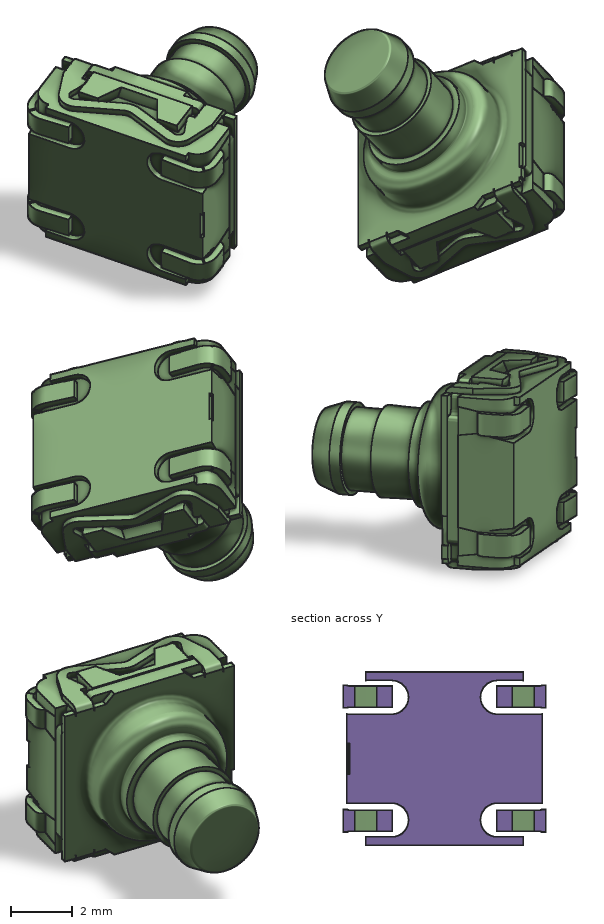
import cadquery as cq
import math

HOUSING_BACK = 0.11
HOUSING_FRONT = 2.01
LAYER_FRONT = 2.39
COVER_FRONT = 2.59
TIP = 7.65

HOUSING_HALF_X = 3.16
HOUSING_HALF_Z = 2.8
CORNER_RADIUS = 0.61
POCKET_DEPTH = 0.19
POCKET_RADIUS = 0.565
POCKET_X = 1.705
POCKET_Z = 1.98
POCKET_DRAFT = 10.0
KEY_HALF_WIDTH = 0.5
KEY_DEPTH = 0.09
KEY_EDGE_DROP = 0.115
ROOT_RECESS = 0.01

TERMINAL_HALF_SPAN = 6.8 / 2
TERMINAL_Z = 2.005
TERMINAL_HALF_WIDTH = 0.37
FOOT_HALF_WIDTH = 0.345
FOOT_END_X = 1.68
FOOT_TILT = 3.0
TERMINAL_BEND_RADIUS = 0.66
TERMINAL_ROOT_RADIUS = 0.305
TERMINAL_ROOT_Y = 1.04
STRAP_THICKNESS = TERMINAL_HALF_SPAN - HOUSING_HALF_X

LAYER_HALF_X = 3.14
LAYER_HALF_Z = 3.105
LAYER_RADIUS = 0.15
LAYER_STEP_Z = 2.12
LAYER_STEP_X = 2.755
TONGUE_TIP_HALF_X = 1.3
TONGUE_ROOT_HALF_X = 1.615

COVER_HALF_X = 3.12
COVER_EDGE_INSET = 0.11
COVER_LONG_EDGE_LOW = -1.2
COVER_CLIP_INSET = 0.03
COVER_CLIP_LOW = -2.64
COVER_CLIP_HIGH = -2.19
RELIEF_WIDTH = 0.02
RELIEF_DEPTH = 0.11
LOOP_OUTER_Z = 3.01
LOOP_BEND_RADIUS = 0.245
LEG_OUTER_X = 2.71
LEG_INNER_X = 2.05

TAB_HALF_X = 1.79
TAB_OUTER_Z = 6.3 / 2
TAB_TIP_Y = 0.94
TAB_ROOT_Y = 1.02
TAB_POCKET_MOUTH_HALF_X = 1.09
TAB_POCKET_END_HALF_X = 0.65
TAB_POCKET_OUTER_Y = 1.77
TAB_POCKET_INNER_Y = 1.645

OVERSIZE = 1.53


def block(x, y, z):
    """Box from three (low, high) ranges."""
    size = [high - low for low, high in (x, y, z)]
    return cq.Workplane("XY").box(*size, centered=False).translate((x[0], y[0], z[0]))


def prism_along_z(sketch_points, low, high):
    return cq.Workplane("XY").workplane(offset=low).polyline(sketch_points).close().extrude(high - low)


def prism_along_x(yz_points, low, high):
    return cq.Workplane("YZ").workplane(offset=low).polyline(yz_points).close().extrude(high - low)


def at_both_ends(shape):
    """The shape and its mirror image below z = 0."""
    return shape.union(shape.mirror("XY"))


def at_four_corners(shape):
    both = at_both_ends(shape)
    return both.union(both.mirror("YZ"))


def rounded_prism(corners, low, high):
    """Prism along Z of a closed outline of (x, y, radius) corners."""
    outline = cq.Workplane("XY").workplane(offset=low)
    for i, (x, y, radius) in enumerate(corners):
        corner = cq.Vector(x, y)
        before = (cq.Vector(*corners[i - 1][:2]) - corner).normalized()
        after = (cq.Vector(*corners[(i + 1) % len(corners)][:2]) - corner).normalized()
        half_angle = before.getAngle(after) / 2
        entry = corner + before * (radius / math.tan(half_angle))
        outline = outline.lineTo(entry.x, entry.y) if i > 0 else outline.moveTo(entry.x, entry.y)
        if radius > 0:
            leave = corner + after * (radius / math.tan(half_angle))
            to_centre = (before + after).normalized()
            middle = corner + to_centre * (radius / math.sin(half_angle) - radius)
            outline = outline.threePointArc((middle.x, middle.y), (leave.x, leave.y))
    return outline.close().extrude(high - low)


def make_nozzle():
    """Turned nozzle on its round base."""
    base_radius, base_top, base_fillet = 2.365, 3.755, 0.375
    foot_fillet = 0.21
    flange_radius, flange_top, flange_fillet = 1.72, 4.19, 0.05
    barrel_radius, barrel_root_radius, barrel_top = 1.51, 1.485, 5.555
    neck_radius, neck_top = 1.355, 6.6
    barb_cylinder_top = 6.96
    tip_radius, tip_fillet = 1.255, 0.085
    diagonal = math.sqrt(0.5)

    profile = (
        cq.Workplane("XY")
        .moveTo(0, HOUSING_FRONT)
        .lineTo(base_radius + foot_fillet, HOUSING_FRONT)
        .lineTo(base_radius + foot_fillet, COVER_FRONT)
        .threePointArc(
            (base_radius + foot_fillet * (1 - diagonal), COVER_FRONT + foot_fillet * (1 - diagonal)),
            (base_radius, COVER_FRONT + foot_fillet),
        )
        .lineTo(base_radius, base_top - base_fillet)
        .threePointArc(
            (base_radius - base_fillet * (1 - diagonal), base_top - base_fillet * (1 - diagonal)),
            (base_radius - base_fillet, base_top),
        )
        .lineTo(flange_radius + flange_fillet, base_top)
        .threePointArc(
            (flange_radius + flange_fillet * (1 - diagonal), base_top + flange_fillet * (1 - diagonal)),
            (flange_radius, base_top + flange_fillet),
        )
        .lineTo(flange_radius, flange_top)
        .lineTo(barrel_root_radius, flange_top)
        .lineTo(barrel_radius, barrel_top)
        .lineTo(neck_radius, barrel_top)
        .lineTo(neck_radius, neck_top)
        .lineTo(barrel_radius, neck_top)
        .lineTo(barrel_radius, barb_cylinder_top)
        .lineTo(tip_radius, TIP)
        .lineTo(0, TIP)
        .close()
    )
    nozzle = profile.revolve(360, (0, 0, 0), (0, 1, 0))
    return nozzle.faces(">Y").edges().fillet(tip_fillet).mirror("YZ")


def make_foot_pocket():
    """Drafted slot in the back face, running out through the side."""
    end_x = POCKET_X - POCKET_RADIUS
    outer_x = HOUSING_HALF_X + OVERSIZE
    back = cq.Plane(
        origin=((end_x + outer_x) / 2, HOUSING_BACK, POCKET_Z), xDir=(1, 0, 0), normal=(0, 1, 0)
    )
    slot = cq.Workplane(back).slot2D(outer_x - end_x, 2 * POCKET_RADIUS)
    return slot.extrude(POCKET_DEPTH, taper=POCKET_DRAFT)


def make_corner_cut():
    """Material outside the rounded back corner, bounded inwards by the drafted pocket wall."""
    edge_x = HOUSING_HALF_X - CORNER_RADIUS
    floor_y = HOUSING_BACK + POCKET_DEPTH
    top_y = floor_y + CORNER_RADIUS
    outer_x = HOUSING_HALF_X + OVERSIZE
    diagonal = CORNER_RADIUS * math.sqrt(0.5)
    outside = (
        cq.Workplane("XY")
        .moveTo(edge_x, HOUSING_BACK - OVERSIZE)
        .lineTo(edge_x, floor_y)
        .threePointArc((edge_x + diagonal, top_y - diagonal), (HOUSING_HALF_X, top_y))
        .lineTo(outer_x, top_y)
        .lineTo(outer_x, HOUSING_BACK - OVERSIZE)
        .close()
        .extrude(HOUSING_HALF_Z + OVERSIZE)
    )
    wall_z = POCKET_Z - POCKET_RADIUS
    wall_shift = (top_y - HOUSING_BACK) * math.tan(math.radians(POCKET_DRAFT))
    above_wall = prism_along_x(
        [
            (HOUSING_BACK, wall_z),
            (top_y, wall_z + wall_shift),
            (top_y, HOUSING_HALF_Z + OVERSIZE),
            (HOUSING_BACK, HOUSING_HALF_Z + OVERSIZE),
        ],
        edge_x,
        outer_x,
    )
    return outside.intersect(above_wall)


def make_root_recess():
    """Shallow flared recess between the terminal root and the front of the housing."""
    flare = 0.11
    root_top = TERMINAL_ROOT_Y + TERMINAL_ROOT_RADIUS
    narrow = TERMINAL_HALF_WIDTH
    wide = narrow + flare
    return prism_along_x(
        [
            (root_top, TERMINAL_Z - narrow),
            (HOUSING_FRONT, TERMINAL_Z - wide),
            (HOUSING_FRONT, TERMINAL_Z + wide),
            (root_top, TERMINAL_Z + narrow),
        ],
        HOUSING_HALF_X - ROOT_RECESS,
        HOUSING_HALF_X + OVERSIZE,
    )


def make_key_notch():
    """Notch with a sloping floor in the +X edge of the back face."""
    inner_x = HOUSING_HALF_X - KEY_DEPTH
    edge_y = HOUSING_BACK + KEY_EDGE_DROP
    outline = [
        (inner_x, HOUSING_BACK),
        (inner_x, edge_y + KEY_DEPTH),
        (HOUSING_HALF_X, edge_y),
        (HOUSING_HALF_X, HOUSING_BACK),
    ]
    return prism_along_z(outline, -KEY_HALF_WIDTH, KEY_HALF_WIDTH)


def make_housing():
    housing = block(
        (-HOUSING_HALF_X, HOUSING_HALF_X),
        (HOUSING_BACK, HOUSING_FRONT),
        (-HOUSING_HALF_Z, HOUSING_HALF_Z),
    )
    for cutter in (make_foot_pocket(), make_corner_cut(), make_root_recess()):
        housing = housing.cut(at_four_corners(cutter))
    return housing.cut(make_key_notch())


def make_terminal():
    """Bent strap: rounded root on the housing side, bend, and tilted foot under the housing."""
    bend_x = TERMINAL_HALF_SPAN - TERMINAL_BEND_RADIUS
    bend_y = TERMINAL_BEND_RADIUS
    inner_radius = TERMINAL_BEND_RADIUS - STRAP_THICKNESS
    foot_angle = -90 - FOOT_TILT
    split_angle = -49.5
    taper_length = 0.045

    def on_bend(radius, angle):
        turn = math.radians(angle)
        return (bend_x + radius * math.cos(turn), bend_y + radius * math.sin(turn))

    def on_foot_end(radius):
        start_x, start_y = on_bend(radius, foot_angle)
        return (FOOT_END_X, start_y + (start_x - FOOT_END_X) * math.tan(math.radians(FOOT_TILT)))

    root_x = TERMINAL_HALF_SPAN - TERMINAL_ROOT_RADIUS
    root_diagonal = TERMINAL_ROOT_RADIUS * math.sqrt(0.5)
    side = (
        cq.Workplane("XY")
        .workplane(offset=TERMINAL_Z - TERMINAL_HALF_WIDTH)
        .moveTo(root_x, TERMINAL_ROOT_Y)
        .lineTo(root_x, TERMINAL_ROOT_Y + TERMINAL_ROOT_RADIUS)
        .threePointArc(
            (root_x + root_diagonal, TERMINAL_ROOT_Y + root_diagonal),
            (TERMINAL_HALF_SPAN, TERMINAL_ROOT_Y),
        )
        .lineTo(TERMINAL_HALF_SPAN, bend_y)
        .threePointArc(
            on_bend(TERMINAL_BEND_RADIUS, split_angle / 2), on_bend(TERMINAL_BEND_RADIUS, split_angle)
        )
        .lineTo(*on_bend(inner_radius, split_angle))
        .threePointArc(on_bend(inner_radius, split_angle / 2), on_bend(inner_radius, 0))
        .lineTo(HOUSING_HALF_X, TERMINAL_ROOT_Y)
        .close()
        .extrude(2 * TERMINAL_HALF_WIDTH)
    )
    along_bend = cq.Vector(*on_bend(0.08, split_angle - 90)) - cq.Vector(bend_x, bend_y)
    across_strap = cq.Vector(*on_bend(0.08, split_angle)) - cq.Vector(bend_x, bend_y)
    side = (
        side.faces(cq.DirectionMinMaxSelector(along_bend))
        .edges(cq.ParallelDirSelector(across_strap))
        .chamfer(TERMINAL_HALF_WIDTH - FOOT_HALF_WIDTH, taper_length)
    )
    middle_angle = (split_angle + foot_angle) / 2
    foot = (
        cq.Workplane("XY")
        .workplane(offset=TERMINAL_Z - FOOT_HALF_WIDTH)
        .moveTo(*on_bend(TERMINAL_BEND_RADIUS, split_angle))
        .threePointArc(
            on_bend(TERMINAL_BEND_RADIUS, middle_angle), on_bend(TERMINAL_BEND_RADIUS, foot_angle)
        )
        .lineTo(*on_foot_end(TERMINAL_BEND_RADIUS))
        .lineTo(*on_foot_end(inner_radius))
        .lineTo(*on_bend(inner_radius, foot_angle))
        .threePointArc(on_bend(inner_radius, middle_angle), on_bend(inner_radius, split_angle))
        .close()
        .extrude(2 * FOOT_HALF_WIDTH)
    )
    return side.union(foot)


def make_layer():
    """Middle layer with stepped corners, raised at both ends, carrying a tongue into the cover."""
    r = LAYER_RADIUS
    rounding = r * (1 - math.sqrt(0.5))
    front = cq.Plane(origin=(0, LAYER_FRONT, 0), xDir=(1, 0, 0), normal=(0, -1, 0))
    quarter = (
        cq.Workplane(front)
        .lineTo(LAYER_HALF_X, 0)
        .lineTo(LAYER_HALF_X, LAYER_STEP_Z - r)
        .threePointArc((LAYER_HALF_X - rounding, LAYER_STEP_Z - rounding), (LAYER_HALF_X - r, LAYER_STEP_Z))
        .lineTo(LAYER_STEP_X + r, LAYER_STEP_Z)
        .threePointArc((LAYER_STEP_X + rounding, LAYER_STEP_Z + rounding), (LAYER_STEP_X, LAYER_STEP_Z + r))
        .lineTo(LAYER_STEP_X, HOUSING_HALF_Z - r)
        .threePointArc((LAYER_STEP_X - rounding, HOUSING_HALF_Z - rounding), (LAYER_STEP_X - r, HOUSING_HALF_Z))
        .lineTo(LEG_INNER_X, HOUSING_HALF_Z)
        .lineTo(LEG_INNER_X, LAYER_HALF_Z - r)
        .threePointArc((LEG_INNER_X - rounding, LAYER_HALF_Z - rounding), (LEG_INNER_X - r, LAYER_HALF_Z))
        .lineTo(0, LAYER_HALF_Z)
        .close()
        .extrude(LAYER_FRONT - HOUSING_FRONT)
    )
    tongue = (
        cq.Workplane(front)
        .polyline(
            [
                (-TONGUE_ROOT_HALF_X, HOUSING_HALF_Z),
                (TONGUE_ROOT_HALF_X, HOUSING_HALF_Z),
                (TONGUE_TIP_HALF_X, LAYER_HALF_Z),
                (-TONGUE_TIP_HALF_X, LAYER_HALF_Z),
            ]
        )
        .close()
        .extrude(LAYER_FRONT - COVER_FRONT)
    )
    return at_four_corners(quarter).union(at_both_ends(tongue))


def make_cover():
    """Front plate with relief slits beside the loop legs and a stepped -X edge."""
    thickness = (LAYER_FRONT, COVER_FRONT)
    inset_edge = -COVER_HALF_X + COVER_EDGE_INSET
    cover = block((inset_edge, COVER_HALF_X), thickness, (-HOUSING_HALF_Z, HOUSING_HALF_Z))
    long_edge = block((-COVER_HALF_X, 0), thickness, (COVER_LONG_EDGE_LOW, HOUSING_HALF_Z))
    clip = block((-COVER_HALF_X + COVER_CLIP_INSET, 0), thickness, (COVER_CLIP_LOW, COVER_CLIP_HIGH))
    cover = cover.union(long_edge).union(clip)
    slit_z = (HOUSING_HALF_Z - RELIEF_DEPTH, HOUSING_HALF_Z)
    for low_x in (LEG_OUTER_X, LEG_INNER_X - RELIEF_WIDTH):
        slit = block((low_x, low_x + RELIEF_WIDTH), thickness, slit_z)
        cover = cover.cut(at_four_corners(slit))
    return cover


def make_loop():
    """Spring loop folded back from the cover along the end of the housing."""
    knee_y = 1.66
    shoulder_x, shoulder_top, shoulder_bottom = 1.84, 1.705, 1.53
    outer_half = [
        (LEG_OUTER_X, COVER_FRONT, 0),
        (LEG_OUTER_X, knee_y, 0),
        (2.195, 0.175, 0.57),
    ]
    inner_half = [
        (2.2, 0.56, 0.19),
        (shoulder_x, shoulder_bottom, 0),
        (shoulder_x, shoulder_top, 0),
        (LEG_INNER_X, shoulder_top, 0),
        (LEG_INNER_X, COVER_FRONT, 0),
    ]
    outer_apex = (0, 1.01, 0.49)
    inner_apex = (0, 1.38, 0.765)

    def mirrored(half):
        return [(-x, y, radius) for x, y, radius in reversed(half)]

    outer_edge = outer_half + [outer_apex] + mirrored(outer_half)
    inner_edge = mirrored(inner_half) + [inner_apex] + inner_half
    loop = rounded_prism(outer_edge + inner_edge, HOUSING_HALF_Z, LOOP_OUTER_Z)
    envelope = block((-LEG_OUTER_X, LEG_OUTER_X), (0, COVER_FRONT), (0, LOOP_OUTER_Z))
    return loop.intersect(envelope.edges(">Y and >Z").fillet(LOOP_BEND_RADIUS))


def make_tab():
    """Latch tab with an undercut lower face and a trapezoid pocket."""
    tab = prism_along_x(
        [
            (HOUSING_FRONT, HOUSING_HALF_Z),
            (TAB_ROOT_Y, HOUSING_HALF_Z),
            (TAB_TIP_Y, TAB_OUTER_Z),
            (HOUSING_FRONT, TAB_OUTER_Z),
        ],
        -TAB_HALF_X,
        TAB_HALF_X,
    )
    sides = prism_along_z(
        [
            (-TAB_POCKET_MOUTH_HALF_X, TAB_TIP_Y),
            (TAB_POCKET_MOUTH_HALF_X, TAB_TIP_Y),
            (TAB_POCKET_END_HALF_X, TAB_POCKET_OUTER_Y),
            (-TAB_POCKET_END_HALF_X, TAB_POCKET_OUTER_Y),
        ],
        HOUSING_HALF_Z,
        TAB_OUTER_Z,
    )
    sloped_end = prism_along_x(
        [
            (TAB_TIP_Y, HOUSING_HALF_Z),
            (TAB_POCKET_INNER_Y, HOUSING_HALF_Z),
            (TAB_POCKET_OUTER_Y, TAB_OUTER_Z),
            (TAB_TIP_Y, TAB_OUTER_Z),
        ],
        -TAB_HALF_X,
        TAB_HALF_X,
    )
    return tab.cut(sides.intersect(sloped_end))


result = (
    make_housing()
    .union(make_layer())
    .union(make_cover())
    .union(make_nozzle())
    .union(at_four_corners(make_terminal()))
    .union(at_both_ends(make_loop()))
    .union(at_both_ends(make_tab()))
)